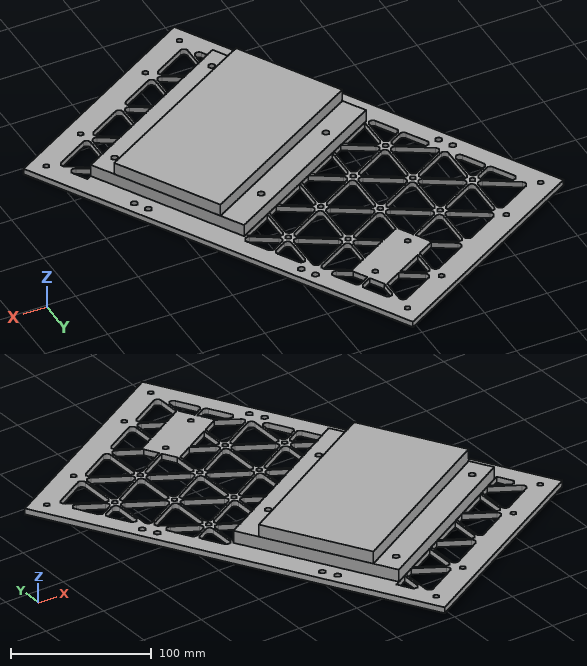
import cadquery as cq
import math

plate_width = 197.8
plate_length = 330.0
plate_thickness = 5.0
plate_angle = 30

cell_side = 42.52
row_pitch = cell_side * math.sin(math.radians(60))
outer_row = 4
window_width = 168.0
window_length = 2 * outer_row * row_pitch
bar_width = 2.0
pocket_fillet = 3.0
bar_length = plate_width + plate_length

node_hole_diameter = 4.2
end_hole_diameter = 4.2
end_hole_y = 152.95
corner_hole_x = 87.5
side_hole_diameter = 5.0
side_hole_x = 90.0
side_pair_y = 70.8
side_pair_spacing = 12.0

pad_width = 60.0
pad_length = 30.0
pad_x = cell_side
pad_row = 3

slab_width = 160.0
slab_length = 130.0
slab_thickness = 10.0
slab_hole_diameter = 5.0
slab_far_row = 0
slab_near_row = -3
slab_y = (slab_far_row + slab_near_row) / 2 * row_pitch
box_length = 90.0
box_height = 10.0


def block(width, length, height, x=0, y=0, z=0):
    """Block centred on (x, y) with its underside at z."""
    return cq.Workplane("XY").box(width, length, height, centered=(True, True, False)).translate((x, y, z))


def drill(body, points, diameter):
    """Cut round holes through a plate or slab, from the underside of the plate up."""
    height = slab_thickness + plate_thickness
    cutters = cq.Workplane("XY").pushPoints(points).circle(diameter / 2).extrude(height)
    return body.cut(cutters)


def mirrored(x, y):
    """The four points at (+-x, +-y)."""
    return [(sx * x, sy * y) for sx in (-1, 1) for sy in (-1, 1)]


def node_points():
    """Lattice nodes that lie inside the window."""
    points = []
    for row in range(1 - outer_row, outer_row):
        if row % 2:
            columns = (-1.5, -0.5, 0.5, 1.5)
        else:
            columns = (-1, 0, 1)
        points += [(column * cell_side, row * row_pitch) for column in columns]
    return points


def slab_hole_points():
    """The four lattice nodes at which the slab is fixed."""
    points = []
    for row, column in ((slab_far_row, 1), (slab_near_row, 1.5)):
        points += [(side * column * cell_side, row * row_pitch) for side in (-1, 1)]
    return points


def make_lattice_pockets():
    """Window divided by three sets of parallel bars, with every pocket corner rounded."""
    pockets = block(window_width, window_length, plate_thickness)
    for direction in (0, 60, 120):
        for line in range(-outer_row, outer_row + 1):
            bar = block(bar_length, bar_width, plate_thickness, y=line * row_pitch)
            pockets = pockets.cut(bar.rotate((0, 0, 0), (0, 0, 1), direction))
    return pockets.edges("|Z").fillet(pocket_fillet)


def make_plate():
    plate = block(plate_width, plate_length, plate_thickness)
    plate = plate.cut(make_lattice_pockets())
    plate = plate.union(block(pad_width, pad_length, plate_thickness, pad_x, pad_row * row_pitch))
    plate = plate.union(block(window_width, slab_length, plate_thickness, y=slab_y))

    plate = drill(plate, node_points(), node_hole_diameter)
    plate = drill(plate, slab_hole_points(), slab_hole_diameter)
    end_holes = mirrored(cell_side, end_hole_y) + mirrored(corner_hole_x, end_hole_y)
    plate = drill(plate, end_holes, end_hole_diameter)
    for offset in (-side_pair_spacing / 2, side_pair_spacing / 2):
        plate = drill(plate, mirrored(side_hole_x, side_pair_y + offset), side_hole_diameter)
    return plate


def make_slab():
    slab = block(slab_width, slab_length, slab_thickness, y=slab_y, z=plate_thickness)
    return drill(slab, slab_hole_points(), slab_hole_diameter)


def make_box():
    return block(slab_width, box_length, box_height, y=slab_y, z=plate_thickness + slab_thickness)


def turned(body):
    """Turn a body into its final direction about Z."""
    return body.rotate((0, 0, 0), (0, 0, 1), plate_angle)


plate = turned(make_plate())
slab = turned(make_slab())
box = turned(make_box())

result = cq.Compound.makeCompound([plate.val(), slab.val(), box.val()])